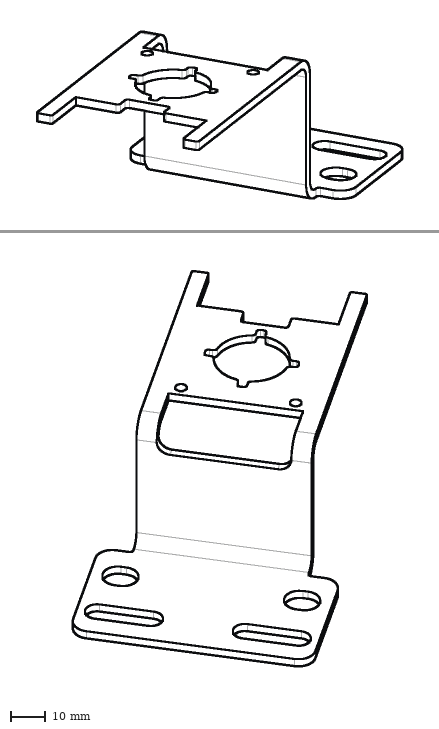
import cadquery as cq
import math

LENGTH = 120.0
HEIGHT = 46.0
THICKNESS = 2.6
INNER_BEND_RADIUS = 3.5
OUTER_BEND_RADIUS = INNER_BEND_RADIUS + THICKNESS

FLANGE_WIDTH = 72.0
FLANGE_DEPTH = 40.0
FLANGE_CORNER_RADIUS = 5.0
NECK_FILLET = 1.0
WALL_BACK_Y = LENGTH - 45.0
WALL_FRONT_Y = WALL_BACK_Y - THICKNESS

SLOT_LENGTH = 23.0
SLOT_WIDTH = 7.0
SLOT_X = 22.0
SLOT_Y = LENGTH - 10.0

OVAL_LENGTH = 10.5
OVAL_WIDTH = 9.0
OVAL_X = 27.0
OVAL_Y = LENGTH - 28.0

BODY_WIDTH = 52.1
WINDOW_WIDTH = 40.0
WINDOW_FRONT_Y = 59.0
WINDOW_DROP = 10.0
WINDOW_CORNER_RADIUS = 4.0

PIN_HOLE_DIAMETER = 3.4
PIN_HOLE_X = 17.0
PIN_HOLE_Y = 55.5

CENTRE_HOLE_Y = 37.5
CENTRE_HOLE_RADIUS = 11.0
EAR_REACH = 13.9
EAR_WIDTH = 2.9
EAR_TIP_RADIUS = 1.0
EAR_ROOT_RADIUS = 1.2

ARM_WIDTH = 5.0
ARM_LENGTH = 16.0
ARM_TIP_RADIUS = 0.7
NOTCH_WIDTH = 14.2
NOTCH_TOP_Y = 20.9
NOTCH_RADIUS = 1.0


def bent_strip():
    """Z-profile of the sheet, extruded across the body width."""
    diagonal = math.sqrt(0.5)
    upper_y = WALL_FRONT_Y - INNER_BEND_RADIUS
    upper_z = HEIGHT - OUTER_BEND_RADIUS
    lower_y = WALL_BACK_Y + INNER_BEND_RADIUS
    lower_z = OUTER_BEND_RADIUS

    def upper_middle(radius):
        return upper_y + radius * diagonal, upper_z + radius * diagonal

    def lower_middle(radius):
        return lower_y - radius * diagonal, lower_z - radius * diagonal

    profile = (
        cq.Workplane("YZ")
        .moveTo(0, HEIGHT)
        .lineTo(upper_y, HEIGHT)
        .threePointArc(upper_middle(OUTER_BEND_RADIUS), (WALL_BACK_Y, upper_z))
        .lineTo(WALL_BACK_Y, lower_z)
        .threePointArc(lower_middle(INNER_BEND_RADIUS), (lower_y, THICKNESS))
        .lineTo(LENGTH, THICKNESS)
        .lineTo(LENGTH, 0)
        .lineTo(lower_y, 0)
        .threePointArc(lower_middle(OUTER_BEND_RADIUS), (WALL_FRONT_Y, lower_z))
        .lineTo(WALL_FRONT_Y, upper_z)
        .threePointArc(upper_middle(INNER_BEND_RADIUS), (upper_y, HEIGHT - THICKNESS))
        .lineTo(0, HEIGHT - THICKNESS)
        .close()
    )
    return profile.extrude(BODY_WIDTH / 2, both=True)


def flange_plate():
    """Wide rounded plate that carries the mounting slots."""
    return (
        cq.Workplane("XY")
        .center(0, LENGTH - FLANGE_DEPTH / 2)
        .rect(FLANGE_WIDTH, FLANGE_DEPTH)
        .extrude(THICKNESS)
        .edges("|Z")
        .fillet(FLANGE_CORNER_RADIUS)
    )


def neck_fillets():
    """Concave fillets where the body meets the front edge of the flange."""
    corner_x = BODY_WIDTH / 2
    corner_y = LENGTH - FLANGE_DEPTH
    arc_inset = NECK_FILLET * (1 - math.sqrt(0.5))
    right = (
        cq.Workplane("XY")
        .moveTo(corner_x, corner_y)
        .lineTo(corner_x + NECK_FILLET, corner_y)
        .threePointArc(
            (corner_x + arc_inset, corner_y - arc_inset),
            (corner_x, corner_y - NECK_FILLET),
        )
        .close()
        .extrude(THICKNESS)
    )
    return right.union(right.mirror("YZ"))


def flange_openings():
    """Long slots near the back edge and short oval holes nearer the wall."""
    slots = (
        cq.Workplane("XY")
        .pushPoints([(-SLOT_X, SLOT_Y), (SLOT_X, SLOT_Y)])
        .slot2D(SLOT_LENGTH, SLOT_WIDTH)
        .extrude(THICKNESS)
    )
    ovals = (
        cq.Workplane("XY")
        .pushPoints([(-OVAL_X, OVAL_Y), (OVAL_X, OVAL_Y)])
        .slot2D(OVAL_LENGTH, OVAL_WIDTH)
        .extrude(THICKNESS)
    )
    return slots.union(ovals)


def bend_window():
    """Opening through the wall, the upper bend and the upper plate."""
    return (
        cq.Workplane("XY")
        .box(WINDOW_WIDTH, WALL_BACK_Y - WINDOW_FRONT_Y, WINDOW_DROP, centered=(True, False, False))
        .translate((0, WINDOW_FRONT_Y, HEIGHT - WINDOW_DROP))
        .edges("|Y and <Z")
        .fillet(WINDOW_CORNER_RADIUS)
    )


def upper_plane():
    return cq.Workplane("XY").workplane(offset=HEIGHT - THICKNESS)


def pin_holes():
    return (
        upper_plane()
        .pushPoints([(-PIN_HOLE_X, PIN_HOLE_Y), (PIN_HOLE_X, PIN_HOLE_Y)])
        .circle(PIN_HOLE_DIAMETER / 2)
        .extrude(THICKNESS)
    )


def centre_hole():
    """Round hole with four rounded ears, blended at their roots."""
    hole = upper_plane().circle(CENTRE_HOLE_RADIUS).extrude(THICKNESS)
    for size in [(2 * EAR_REACH, EAR_WIDTH), (EAR_WIDTH, 2 * EAR_REACH)]:
        ears = upper_plane().rect(*size).extrude(THICKNESS)
        hole = hole.union(ears.edges("|Z").fillet(EAR_TIP_RADIUS))

    root_along = math.sqrt(CENTRE_HOLE_RADIUS**2 - (EAR_WIDTH / 2) ** 2)
    root_across = EAR_WIDTH / 2
    middle_z = HEIGHT - THICKNESS / 2
    for x_size, y_size in [(root_along, root_across), (root_across, root_along)]:
        for x_sign in (-1, 1):
            for y_sign in (-1, 1):
                root = cq.selectors.NearestToPointSelector((x_sign * x_size, y_sign * y_size, middle_z))
                hole = hole.edges(root).fillet(EAR_ROOT_RADIUS)
    return hole.translate((0, CENTRE_HOLE_Y, 0))


def front_cutout():
    """Space between the arms plus the rounded central notch."""
    gap_width = BODY_WIDTH - 2 * ARM_WIDTH
    gap = upper_plane().center(0, ARM_LENGTH / 2).rect(gap_width, ARM_LENGTH).extrude(THICKNESS)
    notch = upper_plane().center(0, NOTCH_TOP_Y / 2).rect(NOTCH_WIDTH, NOTCH_TOP_Y).extrude(THICKNESS)
    cutout = gap.union(notch)
    for y in (ARM_LENGTH, NOTCH_TOP_Y):
        for x in (-NOTCH_WIDTH / 2, NOTCH_WIDTH / 2):
            corner = cq.selectors.NearestToPointSelector((x, y, HEIGHT - THICKNESS / 2))
            cutout = cutout.edges(corner).fillet(NOTCH_RADIUS)
    return cutout


bracket = bent_strip().cut(front_cutout())
bracket = bracket.faces("<Y").edges("|Z").fillet(ARM_TIP_RADIUS)
bracket = bracket.cut(bend_window()).cut(pin_holes()).cut(centre_hole())
bracket = bracket.union(flange_plate()).union(neck_fillets())
result = bracket.cut(flange_openings())